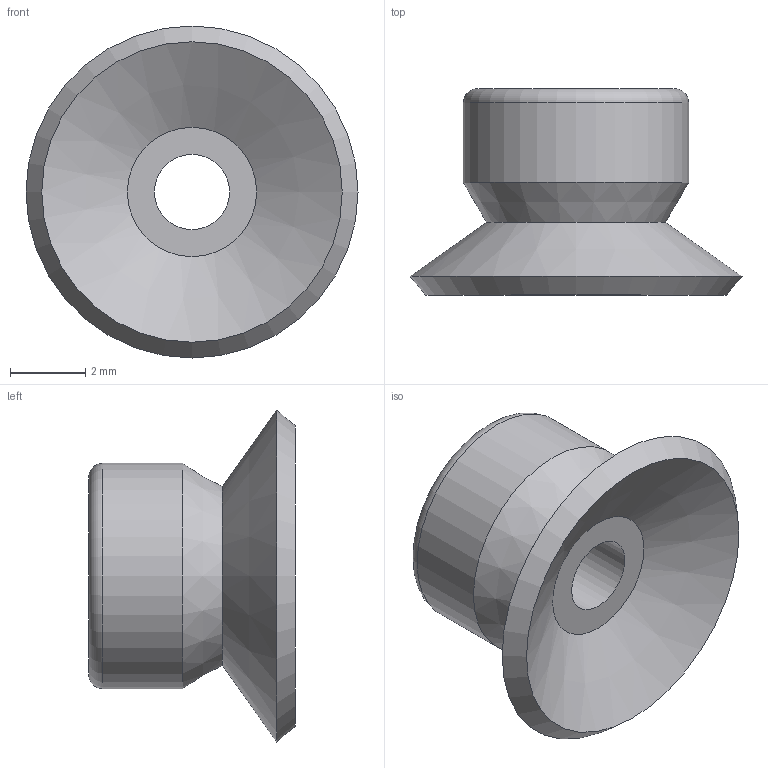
import cadquery as cq

LENGTH = 5.5
BORE_RADIUS = 1.0

MOUTH_RADIUS = 4.0
RIM_RADIUS = 4.42
RIM_Y = 0.5
CUP_FLOOR_RADIUS = 1.72
CUP_DEPTH = 1.3

NECK_RADIUS = 2.38
NECK_Y = 1.94
BODY_RADIUS = 3.0
BODY_START_Y = 3.0
BACK_EDGE_FILLET = 0.38


def turned_body():
    """Revolve the half section (radius along X, axis along Y)."""
    section = (
        cq.Workplane("XY")
        .moveTo(BORE_RADIUS, CUP_DEPTH)
        .lineTo(CUP_FLOOR_RADIUS, CUP_DEPTH)
        .lineTo(MOUTH_RADIUS, 0)
        .lineTo(RIM_RADIUS, RIM_Y)
        .lineTo(NECK_RADIUS, NECK_Y)
        .lineTo(BODY_RADIUS, BODY_START_Y)
        .lineTo(BODY_RADIUS, LENGTH - BACK_EDGE_FILLET)
        .radiusArc((BODY_RADIUS - BACK_EDGE_FILLET, LENGTH), -BACK_EDGE_FILLET)
        .lineTo(BORE_RADIUS, LENGTH)
        .close()
    )
    return section.revolve(360, (0, 0, 0), (0, 1, 0))


result = turned_body()